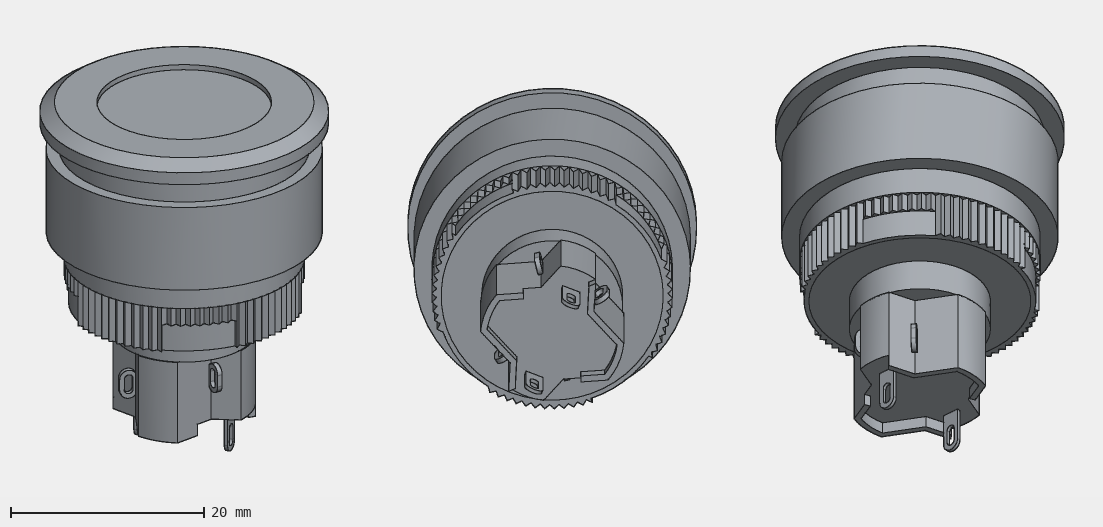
import cadquery as cq
import math

HEIGHT = 38.98

BEZEL_D = 29.95
BEZEL_TOP_D = 26.9
BEZEL_CHAMFER_H = 1.0
BEZEL_H = 2.38
BUTTON_D = 18.1
BUTTON_DEPTH = 0.6

NECK_D = 25.95
THREAD_D = 23.0
STEM_D = 14.6

COLLAR_D = 28.65
RING_D = 24.95
COLLAR_TOP_Z = 33.68
COLLAR_BOTTOM_Z = 24.2
KNURL_TOP_Z = 21.2
NUT_BOTTOM_Z = 16.15
KNURL_DEPTH = 0.45
KNURL_TEETH = 78
KEY_SLOT_TOP_Z = 19.18
KEY_SLOT_COUNT = 4
KEY_SLOT_FIRST_ANGLE = 30.0
KEY_SLOT_SPAN = 37.0

BASE_D = 14.9
BASE_TOP_Z = 12.63
BASE_FLOOR_Z = 4.68
RIM_BOTTOM_Z = 3.4
RIM_WALL = 0.65
NOTCH_CORNER = (4.25, 2.95)
NOTCH_EDGE_X = 2.2
NOTCH_EDGE_Y = 1.95
RIM_GAP_START = 0.4

PIN_X = 5.05
PIN_W = 1.9
PIN_T = 0.4
PIN_HOLE_W = 0.95
PIN_HOLE_BOTTOM_Z = 0.6
PIN_HOLE_TOP_Z = 3.05

EYELET_W = 1.9
EYELET_H = 3.2
EYELET_T = 0.55
EYELET_HOLE_W = 0.95
EYELET_HOLE_H = 2.15
EYELET_CENTRE = (4.87, 3.43)
EYELET_ANGLE = 36.0
EYELET_LOW_Z = 7.35
EYELET_HIGH_Z = 9.8

BASE_R = BASE_D / 2
NOTCH_STEEP_END = (NOTCH_EDGE_X, math.sqrt(BASE_R**2 - NOTCH_EDGE_X**2))
NOTCH_SHALLOW_END = (math.sqrt(BASE_R**2 - NOTCH_EDGE_Y**2), NOTCH_EDGE_Y)


def disc(diameter, bottom_z, top_z):
    return cq.Workplane("XY").workplane(offset=bottom_z).circle(diameter / 2).extrude(top_z - bottom_z)


def polar(radius, angle):
    return (radius * math.cos(math.radians(angle)), radius * math.sin(math.radians(angle)))


def knurl_cutter():
    """Ring whose inner side is a row of V teeth with their tips on the ring diameter."""
    tip_r = RING_D / 2
    root_r = tip_r - KNURL_DEPTH
    pitch = 360 / KNURL_TEETH
    outline = []
    for tooth in range(KNURL_TEETH):
        outline.append(polar(tip_r, tooth * pitch))
        outline.append(polar(root_r, (tooth + 0.5) * pitch))
    height = KNURL_TOP_Z - NUT_BOTTOM_Z
    plane = cq.Workplane("XY").workplane(offset=NUT_BOTTOM_Z)
    return plane.circle(COLLAR_D / 2).extrude(height).cut(plane.polyline(outline).close().extrude(height))


def key_slot_cutter(angle):
    """Sector that sinks a spanner slot to the root of the knurl."""
    inner_r = RING_D / 2 - KNURL_DEPTH
    outer_r = COLLAR_D / 2
    start = angle - KEY_SLOT_SPAN / 2
    end = angle + KEY_SLOT_SPAN / 2
    return (
        cq.Workplane("XY").workplane(offset=NUT_BOTTOM_Z)
        .moveTo(*polar(inner_r, start))
        .lineTo(*polar(outer_r, start))
        .threePointArc(polar(outer_r, angle), polar(outer_r, end))
        .lineTo(*polar(inner_r, end))
        .threePointArc(polar(inner_r, angle), polar(inner_r, start))
        .close()
        .extrude(KEY_SLOT_TOP_Z - NUT_BOTTOM_Z)
    )


def make_nut():
    nut = disc(COLLAR_D, COLLAR_BOTTOM_Z, COLLAR_TOP_Z)
    nut = nut.union(disc(RING_D, NUT_BOTTOM_Z, COLLAR_BOTTOM_Z))
    nut = nut.cut(disc(THREAD_D, NUT_BOTTOM_Z, COLLAR_TOP_Z))
    nut = nut.cut(knurl_cutter())
    for index in range(KEY_SLOT_COUNT):
        nut = nut.cut(key_slot_cutter(KEY_SLOT_FIRST_ANGLE + index * 360 / KEY_SLOT_COUNT))
    return nut


def make_barrel():
    """Turned upper part: bezel with its button recess, neck, thread and stem."""
    bezel_r = BEZEL_D / 2
    profile = [
        (0, BASE_TOP_Z),
        (STEM_D / 2, BASE_TOP_Z),
        (STEM_D / 2, NUT_BOTTOM_Z),
        (THREAD_D / 2, NUT_BOTTOM_Z),
        (THREAD_D / 2, COLLAR_TOP_Z),
        (NECK_D / 2, COLLAR_TOP_Z),
        (NECK_D / 2, HEIGHT - BEZEL_H),
        (bezel_r, HEIGHT - BEZEL_H),
        (bezel_r, HEIGHT - BEZEL_CHAMFER_H),
        (BEZEL_TOP_D / 2, HEIGHT),
        (BUTTON_D / 2, HEIGHT),
        (BUTTON_D / 2, HEIGHT - BUTTON_DEPTH),
        (0, HEIGHT - BUTTON_DEPTH),
    ]
    return cq.Workplane("XZ").polyline(profile).close().revolve(360, (0, 0, 0), (0, 1, 0))


def base_outline(bottom_z):
    """Circle with a V notch in each quadrant, drawn counterclockwise from the +X arm."""
    steep_x, steep_y = NOTCH_STEEP_END
    shallow_x, shallow_y = NOTCH_SHALLOW_END
    corner_x, corner_y = NOTCH_CORNER
    return (
        cq.Workplane("XY").workplane(offset=bottom_z)
        .moveTo(shallow_x, -shallow_y)
        .threePointArc((BASE_R, 0), (shallow_x, shallow_y))
        .lineTo(corner_x, corner_y)
        .lineTo(steep_x, steep_y)
        .threePointArc((0, BASE_R), (-steep_x, steep_y))
        .lineTo(-corner_x, corner_y)
        .lineTo(-shallow_x, shallow_y)
        .threePointArc((-BASE_R, 0), (-shallow_x, -shallow_y))
        .lineTo(-corner_x, -corner_y)
        .lineTo(-steep_x, -steep_y)
        .threePointArc((0, -BASE_R), (steep_x, -steep_y))
        .lineTo(corner_x, -corner_y)
        .close()
    )


def rim_gap_cutter():
    """Opens the rim around the +X arm, from part way along the -Y notch to the +Y notch."""
    corner_x, corner_y = NOTCH_CORNER
    run_x = NOTCH_STEEP_END[0] - corner_x
    run_y = NOTCH_STEEP_END[1] - corner_y
    run = math.hypot(run_x, run_y)
    normal = (run_y / run, run_x / run)
    start_x = corner_x + RIM_GAP_START * run_x
    start_y = -(corner_y + RIM_GAP_START * run_y)
    reach = BASE_R / 2
    arm_x, arm_y = NOTCH_SHALLOW_END
    outline = [
        (start_x + reach * normal[0], start_y + reach * normal[1]),
        (start_x - RIM_WALL * normal[0], start_y - RIM_WALL * normal[1]),
        (corner_x / 2, 0),
        (arm_x - RIM_WALL, arm_y - RIM_WALL),
        (arm_x + RIM_WALL, arm_y + RIM_WALL),
        (BASE_D, 0),
    ]
    plane = cq.Workplane("XY").workplane(offset=RIM_BOTTOM_Z)
    return plane.polyline(outline).close().extrude(BASE_FLOOR_Z - RIM_BOTTOM_Z)


def make_base():
    base = base_outline(RIM_BOTTOM_Z).extrude(BASE_TOP_Z - RIM_BOTTOM_Z)
    cavity = base_outline(RIM_BOTTOM_Z).offset2D(-RIM_WALL, "intersection")
    base = base.cut(cavity.extrude(BASE_FLOOR_Z - RIM_BOTTOM_Z))
    gap = rim_gap_cutter()
    return base.cut(gap).cut(gap.rotate((0, 0, 0), (0, 0, 1), 180))


def slot_plate(width, height, thickness):
    """Upright round-ended plate centred on the origin, with its thickness along X."""
    return cq.Workplane("YZ").slot2D(height, width, 90).extrude(thickness / 2, both=True)


def make_pin(x):
    """Flat pin with a round tip and a long eye; its upper end enters the base."""
    blade_top = BASE_FLOOR_Z + PIN_W / 2
    eye_h = PIN_HOLE_TOP_Z - PIN_HOLE_BOTTOM_Z
    eye_z = (PIN_HOLE_TOP_Z + PIN_HOLE_BOTTOM_Z) / 2
    blade = slot_plate(PIN_W, blade_top, PIN_T).translate((x, 0, blade_top / 2))
    return blade.cut(slot_plate(PIN_HOLE_W, eye_h, 2 * PIN_T).translate((x, 0, eye_z)))


def make_eyelet(side_x, side_y):
    """Upright eyelet at a notch corner; opposite notches have the same height."""
    eyelet = slot_plate(EYELET_W, EYELET_H, EYELET_T)
    eyelet = eyelet.cut(slot_plate(EYELET_HOLE_W, EYELET_HOLE_H, 2 * EYELET_T))
    eyelet = eyelet.rotate((0, 0, 0), (0, 0, 1), side_x * side_y * EYELET_ANGLE - 90)
    z = EYELET_LOW_Z if side_x == side_y else EYELET_HIGH_Z
    return eyelet.translate((side_x * EYELET_CENTRE[0], side_y * EYELET_CENTRE[1], z))


def make_switch():
    switch = make_barrel().union(make_base())
    for side_x in (-1, 1):
        switch = switch.union(make_pin(side_x * PIN_X))
        for side_y in (-1, 1):
            switch = switch.union(make_eyelet(side_x, side_y))
    return switch


switch = make_switch()
nut = make_nut()

result = cq.Compound.makeCompound([switch.solids().val(), nut.solids().val()])